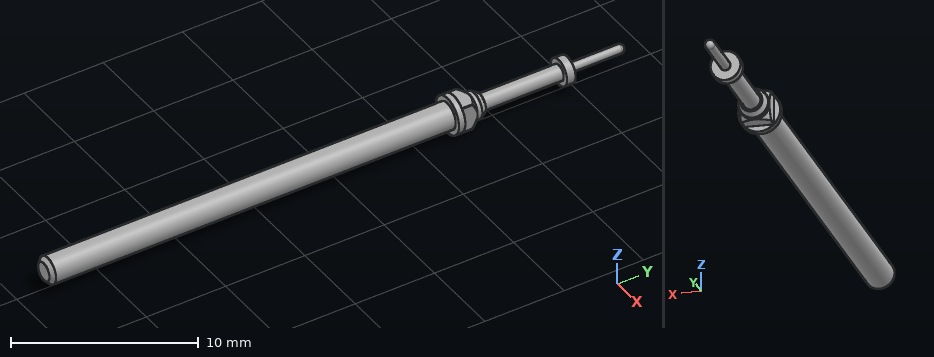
import cadquery as cq

ROD_DIAMETER = 0.55
COLLAR_DIAMETER = 1.65
SHAFT_DIAMETER = 1.0
BARREL_DIAMETER = 1.65
FLANGE_DIAMETER = 2.3

TOTAL_LENGTH = 36.6
ROD_LENGTH = 3.55
COLLAR_LENGTH = 0.55
SHAFT_LENGTH = 4.98
SHOULDER_LENGTH = 1.65
FLANGE_LENGTH = 0.4

SHOULDER_CHAMFER_LENGTH = 0.35
SHOULDER_CHAMFER_DEPTH = 0.22
TAIL_CHAMFER = 0.25

SQUARE_WIDTH = BARREL_DIAMETER
SQUARE_LENGTH = 1.0

FLANGE_FRONT = FLANGE_LENGTH
SHOULDER_FRONT = FLANGE_FRONT + SHOULDER_LENGTH
SHAFT_FRONT = SHOULDER_FRONT + SHAFT_LENGTH
COLLAR_FRONT = SHAFT_FRONT + COLLAR_LENGTH
TIP = COLLAR_FRONT + ROD_LENGTH
TAIL = TIP - TOTAL_LENGTH


def cylinder(diameter, start, end):
    """Cylinder along Y between two stations."""
    plane = cq.Plane(origin=(0, start, 0), xDir=(1, 0, 0), normal=(0, 1, 0))
    return cq.Workplane(plane).circle(diameter / 2).extrude(end - start)


def make_rod():
    """Rod ending in a hemisphere."""
    radius = ROD_DIAMETER / 2
    dome_base = TIP - radius
    dome = cq.Workplane("XY").sphere(radius).translate((0, dome_base, 0))
    return cylinder(ROD_DIAMETER, COLLAR_FRONT, dome_base).union(dome)


def make_shoulder():
    shoulder = cylinder(BARREL_DIAMETER, FLANGE_FRONT, SHOULDER_FRONT)
    return shoulder.faces(">Y").chamfer(SHOULDER_CHAMFER_LENGTH, SHOULDER_CHAMFER_DEPTH)


def make_square():
    """Square with its front corners on a 45 degree cone and its edges kept within the flange."""
    rear, front = FLANGE_FRONT, FLANGE_FRONT + SQUARE_LENGTH
    bar = cq.Workplane("XY").box(SQUARE_WIDTH, SQUARE_LENGTH, SQUARE_WIDTH)
    bar = bar.translate((0, (rear + front) / 2, 0))
    envelope = cylinder(FLANGE_DIAMETER, rear, front)
    cone_height = (FLANGE_DIAMETER - BARREL_DIAMETER) / 2
    return bar.intersect(envelope.faces(">Y").chamfer(cone_height))


def make_barrel():
    return cylinder(BARREL_DIAMETER, TAIL, 0).faces("<Y").chamfer(TAIL_CHAMFER)


result = (
    make_barrel()
    .union(cylinder(FLANGE_DIAMETER, 0, FLANGE_FRONT))
    .union(make_square())
    .union(make_shoulder())
    .union(cylinder(SHAFT_DIAMETER, SHOULDER_FRONT, SHAFT_FRONT))
    .union(cylinder(COLLAR_DIAMETER, SHAFT_FRONT, COLLAR_FRONT))
    .union(make_rod())
)